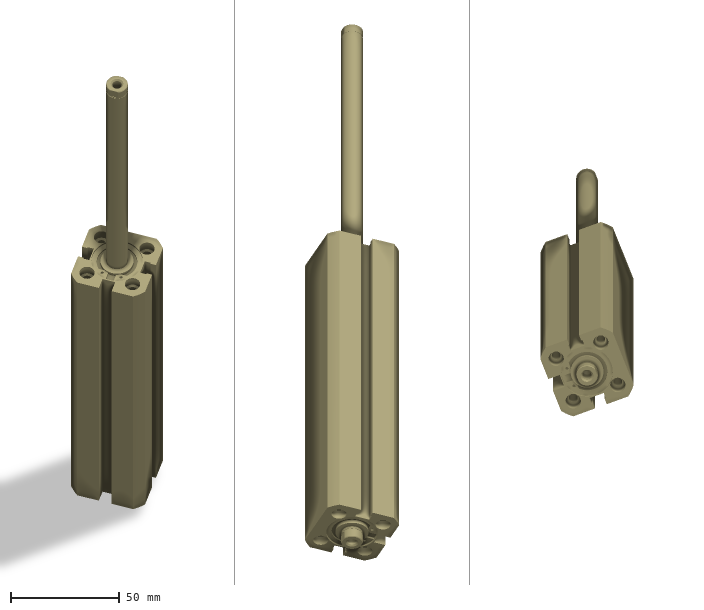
import cadquery as cq

HOUSING_WIDTH = 36.0
HOUSING_LENGTH = 157.3
ROD_LENGTH = 294.0
ROD_LOWER_PROJECTION = 6.0
HOUSING_BOTTOM = ROD_LOWER_PROJECTION
HOUSING_TOP = HOUSING_BOTTOM + HOUSING_LENGTH
HOUSING_MIDDLE = (HOUSING_BOTTOM + HOUSING_TOP) / 2
HALF_WIDTH = HOUSING_WIDTH / 2

CORNER_DIAMETER = 45.0
SLOT_FLOOR = 12.3
FRONT_SLOT_WIDTH = 6.2
SIDE_SLOT_WIDTH = 7.0
SIDE_SLOT_MOUTH_WIDTH = 6.0
SIDE_SLOT_LIP = 2.5

MOUNT_SPACING = 22.0
MOUNT_HOLE_DIAMETER = 4.0
COUNTERBORE_DIAMETER = 7.0
COUNTERBORE_DEPTH = 4.7

RECESS_DIAMETER = 23.8
COLLAR_DIAMETER = 15.3
RING_INNER_DIAMETER = 18.8
RING_THICKNESS = 1.0
RING_DEPTH = 1.0
FLANGE_THICKNESS = 4.0
FLANGE_DEPTH = RING_DEPTH + RING_THICKNESS
RECESS_DEPTH = FLANGE_DEPTH + FLANGE_THICKNESS
RING_GAP = 3.8
LUG_WIDTH = 5.5
LUG_INNER_EDGE = 6.5
LUG_HOLE_DIAMETER = 1.5
LUG_HOLE_RADIUS = 9.5
LUG_HOLE_ANGLE = 29.0

ROD_DIAMETER = 10.0
NECK_DIAMETER = 9.7
NECK_LENGTH = 0.5
TIP_LENGTH = 4.0
TIP_CHAMFER = 0.3
FLATS_WIDTH = 9.0
ROD_HOLE_DIAMETER = 4.5
ROD_HOLE_DEPTH = 8.8
ROD_HOLE_MOUTH_DIAMETER = 6.0


def cylinder(diameter, bottom, height):
    return cq.Workplane("XY").workplane(offset=bottom).circle(diameter / 2).extrude(height)


def box(x_range, y_range, z_range):
    sizes = [high - low for low, high in (x_range, y_range, z_range)]
    return cq.Workplane("XY").box(*sizes, centered=False).translate((x_range[0], y_range[0], z_range[0]))


def at_upper_end(shape):
    """Leave a shape of the upper housing end where it is."""
    return shape


def at_lower_end(shape):
    """Mirror a shape of the upper housing end onto the lower end."""
    return shape.mirror("XY", (0, 0, HOUSING_MIDDLE))


def make_end_recess():
    return cylinder(RECESS_DIAMETER, HOUSING_TOP - RECESS_DEPTH, RECESS_DEPTH)


def make_side_slot():
    """Slot in the -X side, narrower at its mouth than at its floor."""
    z_range = (HOUSING_BOTTOM, HOUSING_TOP)
    mouth = SIDE_SLOT_MOUTH_WIDTH / 2
    inside = SIDE_SLOT_WIDTH / 2
    lip_end = -HALF_WIDTH + SIDE_SLOT_LIP
    slot_mouth = box((-HALF_WIDTH, lip_end), (-mouth, mouth), z_range)
    slot_inside = box((lip_end, -SLOT_FLOOR), (-inside, inside), z_range)
    return slot_mouth.union(slot_inside)


def make_mounting_holes():
    corners = cq.Workplane("XY").workplane(offset=HOUSING_BOTTOM)
    corners = corners.rect(MOUNT_SPACING, MOUNT_SPACING, forConstruction=True).vertices()
    holes = corners.circle(MOUNT_HOLE_DIAMETER / 2).extrude(HOUSING_LENGTH)
    lower = corners.circle(COUNTERBORE_DIAMETER / 2).extrude(COUNTERBORE_DEPTH)
    return holes.union(lower).union(at_lower_end(lower))


def make_housing():
    housing = cq.Workplane("XY").workplane(offset=HOUSING_BOTTOM)
    housing = housing.rect(HOUSING_WIDTH, HOUSING_WIDTH).extrude(HOUSING_LENGTH)
    housing = housing.intersect(cylinder(CORNER_DIAMETER, HOUSING_BOTTOM, HOUSING_LENGTH))

    front_slot = box(
        (-FRONT_SLOT_WIDTH / 2, FRONT_SLOT_WIDTH / 2),
        (-HALF_WIDTH, -SLOT_FLOOR),
        (HOUSING_BOTTOM, HOUSING_TOP),
    )
    side_slot = make_side_slot()
    housing = housing.cut(front_slot).cut(side_slot).cut(side_slot.mirror("YZ"))

    recess = make_end_recess()
    housing = housing.cut(recess).cut(at_lower_end(recess))
    rod_passage = cylinder(ROD_DIAMETER, HOUSING_BOTTOM, HOUSING_LENGTH)
    return housing.cut(make_mounting_holes()).cut(rod_passage)


def make_cover():
    """Upper bearing cover: a flange with a collar that ends flush with the housing."""
    flange = cylinder(RECESS_DIAMETER, HOUSING_TOP - RECESS_DEPTH, FLANGE_THICKNESS)
    collar = cylinder(COLLAR_DIAMETER, HOUSING_TOP - RECESS_DEPTH, RECESS_DEPTH)
    rod_passage = cylinder(ROD_DIAMETER, HOUSING_TOP - RECESS_DEPTH, RECESS_DEPTH)
    return flange.union(collar).cut(rod_passage)


def make_retaining_ring():
    """Upper retaining ring: open toward -Y, with a drilled lug at each end."""
    bottom = HOUSING_TOP - FLANGE_DEPTH
    z_range = (bottom, bottom + RING_THICKNESS)
    outside = cylinder(RECESS_DIAMETER, bottom, RING_THICKNESS)
    ring = outside.cut(cylinder(RING_INNER_DIAMETER, bottom, RING_THICKNESS))
    lug_reach = RING_GAP / 2 + LUG_WIDTH
    lugs = box((-lug_reach, lug_reach), (-RECESS_DIAMETER / 2, -LUG_INNER_EDGE), z_range)
    ring = ring.union(lugs.intersect(outside))
    ring = ring.cut(cylinder(COLLAR_DIAMETER, bottom, RING_THICKNESS))
    ring = ring.cut(box((-RING_GAP / 2, RING_GAP / 2), (-HALF_WIDTH, 0), z_range))

    hole = cylinder(LUG_HOLE_DIAMETER, bottom, RING_THICKNESS).translate((0, -LUG_HOLE_RADIUS, 0))
    for angle in (-LUG_HOLE_ANGLE, LUG_HOLE_ANGLE):
        ring = ring.cut(hole.rotate((0, 0, 0), (0, 0, 1), angle))
    return ring


def make_rod_tip():
    """Lower rod tip with two wrench flats facing -Y and +Y, and the neck behind it."""
    neck = cylinder(NECK_DIAMETER, TIP_LENGTH, NECK_LENGTH)
    tip = cylinder(ROD_DIAMETER, 0, TIP_LENGTH).faces("<Z").chamfer(TIP_CHAMFER)
    rod_width = (-ROD_DIAMETER / 2, ROD_DIAMETER / 2)
    across_flats = (-FLATS_WIDTH / 2, FLATS_WIDTH / 2)
    tip = tip.intersect(box(rod_width, across_flats, (0, TIP_LENGTH)))
    return tip.union(neck)


def make_rod_hole():
    """Lower threaded end hole with a countersunk mouth and a conical drill point."""
    radius = ROD_HOLE_DIAMETER / 2
    mouth_radius = ROD_HOLE_MOUTH_DIAMETER / 2
    profile = cq.Workplane("XZ").polyline([
        (0, 0),
        (mouth_radius, 0),
        (radius, mouth_radius - radius),
        (radius, ROD_HOLE_DEPTH),
        (0, ROD_HOLE_DEPTH + radius),
    ]).close()
    return profile.revolve(360, (0, 0, 0), (0, 1, 0))


def make_rod():
    end = make_rod_tip()
    hole = make_rod_hole()
    middle = (0, 0, ROD_LENGTH / 2)
    end_length = TIP_LENGTH + NECK_LENGTH
    rod = cylinder(ROD_DIAMETER, end_length, ROD_LENGTH - 2 * end_length)
    rod = rod.union(end).union(end.mirror("XY", middle))
    return rod.cut(hole).cut(hole.mirror("XY", middle))


housing = make_housing()
rod = make_rod()
upper_cover = make_cover()
upper_ring = make_retaining_ring()

covers = []
rings = []
for place_at_end in (at_upper_end, at_lower_end):
    covers.append(place_at_end(upper_cover).solids().val())
    rings.append(place_at_end(upper_ring).solids().val())

result = cq.Compound.makeCompound([housing.solids().val(), rod.solids().val(), *covers, *rings])